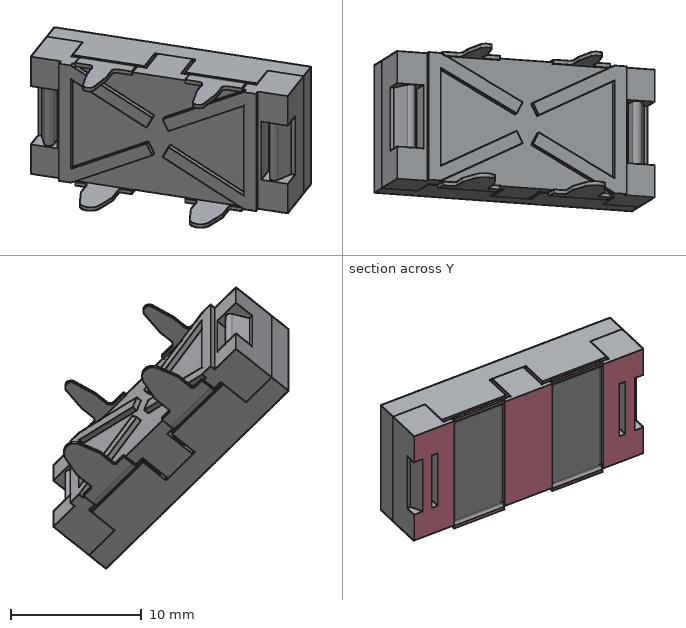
import cadquery as cq
import math


LENGTH = 20.8
HEIGHT = 9.98
TOP = HEIGHT / 2
COVER_BACK = 5.43
SEAM = 3.68

BAY_OUTER = 7.49
BAY_INNER = 1.41
BAY_FRONT = 1.06
BAY_WIDTH = BAY_OUTER - BAY_INNER
BAY_CENTER = (BAY_OUTER + BAY_INNER) / 2
LEG_FRONT = 1.33
LEG_INNER = 1.65

RIB_HEIGHT = 0.44
RIB_BAR_OUTER = 7.99
RIB_BAR_INNER = 7.0
RIB_ARM_WIDTH = 1.05
RIB_TIP_X = 0.42
RIB_TIP_Z = 1.6

RECESS_HEIGHT = 4.95
RECESS_DEPTH = 1.68
RECESS_INNER = 8.25
PIER_FOOT = 10.1
PIER_NOSE_X = 9.13
PIER_NOSE_Y = 0.56
PIER_NOSE_RADIUS = 0.37

SHEET = 0.31
BEND_RADIUS = 0.58
BEND_START = 0.69
TERMINAL_TOP = TOP + 0.17
TERMINAL_BOTTOM = -TOP - SHEET
TERMINAL_WIDTH = 4.58
TERMINAL_FRONT = -0.2
PIN_SHOULDER = -1.77
PIN_TIP = -4.01
SLEEVE_BACK = 3.4
SLEEVE_FRONT = BEND_START + BEND_RADIUS - SHEET
SLEEVE_DEPTH = SLEEVE_BACK - SLEEVE_FRONT
SLEEVE_RADIUS = 0.94
SLEEVE_TOP = TERMINAL_TOP - BEND_RADIUS
SLEEVE_BOTTOM = TERMINAL_BOTTOM + BEND_RADIUS

TOP_PIN = dict(half_width=0.8, tip_half_width=0.45, tip_start=-3.58, fillet=0.37)
BOTTOM_PIN = dict(half_width=1.3, tip_half_width=0.8, tip_start=-3.45, fillet=0.15)


def block(x_min, x_max, y_min, y_max, z_min, z_max):
    """Axis-aligned box given by its limits."""
    size = (x_max - x_min, y_max - y_min, z_max - z_min)
    return cq.Workplane("XY").box(*size, centered=False).translate((x_min, y_min, z_min))


def rounded_prism(inset):
    """Rounded rectangle along Z, inset from the outer skin of the right-hand sleeve."""
    return (
        cq.Workplane("XY", origin=(BAY_CENTER, (SLEEVE_FRONT + SLEEVE_BACK) / 2, SLEEVE_BOTTOM))
        .rect(BAY_WIDTH - 2 * inset, SLEEVE_DEPTH - 2 * inset)
        .extrude(SLEEVE_TOP - SLEEVE_BOTTOM)
        .edges("|Z")
        .fillet(SLEEVE_RADIUS - inset)
    )


def sleeve():
    """Sheet-metal tube that surrounds the core of a cover leg."""
    return rounded_prism(0).cut(rounded_prism(SHEET))


def with_mirror(shape):
    """The shape and its mirror image about X = 0, as a list."""
    return [shape, shape.mirror("YZ")]


def terminal(bottom_z, half_width, tip_half_width, tip_start, fillet):
    """Flat terminal with a tapered, round-ended pin."""
    half_terminal = TERMINAL_WIDTH / 2
    return (
        cq.Workplane("XY", origin=(BAY_CENTER, 0, bottom_z))
        .moveTo(-half_terminal, BEND_START)
        .lineTo(-half_terminal, TERMINAL_FRONT)
        .lineTo(-half_width - fillet, TERMINAL_FRONT)
        .radiusArc((-half_width, TERMINAL_FRONT - fillet), fillet)
        .lineTo(-half_width, PIN_SHOULDER)
        .lineTo(-tip_half_width, tip_start)
        .threePointArc((0, PIN_TIP), (tip_half_width, tip_start))
        .lineTo(half_width, PIN_SHOULDER)
        .lineTo(half_width, TERMINAL_FRONT - fillet)
        .radiusArc((half_width + fillet, TERMINAL_FRONT), fillet)
        .lineTo(half_terminal, TERMINAL_FRONT)
        .lineTo(half_terminal, BEND_START)
        .close()
        .extrude(SHEET)
    )


def bend(sleeve_end_z, direction):
    """Quarter-round bend from the sleeve end to a terminal; direction is +1 at the top, -1 below."""
    inner_radius = BEND_RADIUS - SHEET
    diagonal = math.sqrt(0.5)

    def on_arc(radius, y_part, z_part):
        return (BEND_START + radius * y_part, sleeve_end_z + direction * radius * z_part)

    return (
        cq.Workplane("YZ", origin=(BAY_CENTER, 0, 0))
        .moveTo(*on_arc(BEND_RADIUS, 1, 0))
        .threePointArc(on_arc(BEND_RADIUS, diagonal, diagonal), on_arc(BEND_RADIUS, 0, 1))
        .lineTo(*on_arc(inner_radius, 0, 1))
        .threePointArc(on_arc(inner_radius, diagonal, diagonal), on_arc(inner_radius, 1, 0))
        .close()
        .extrude(TERMINAL_WIDTH / 2, both=True)
    )


def right_winding():
    """Winding on the +X side: sleeve, two bends and two pinned terminals."""
    return (
        sleeve()
        .union(bend(SLEEVE_TOP, 1))
        .union(bend(SLEEVE_BOTTOM, -1))
        .union(terminal(TERMINAL_TOP - SHEET, **TOP_PIN))
        .union(terminal(TERMINAL_BOTTOM, **BOTTOM_PIN))
    )


def make_cover():
    """Back plate with two legs that carry the windings."""
    cover = block(-LENGTH / 2, LENGTH / 2, SEAM, COVER_BACK, -TOP, TOP)
    leg = block(LEG_INNER, BAY_OUTER, LEG_FRONT, SEAM, -TOP, TOP).cut(sleeve())
    for part in with_mirror(leg):
        cover = cover.union(part)
    return cover


def rib():
    """Bar along Z with two slanted arms pointing at the middle of the front face, +X side."""
    angle = math.atan2(TOP - RIB_TIP_Z, RIB_BAR_INNER - RIB_TIP_X)
    inner_tip = (
        RIB_TIP_X + RIB_ARM_WIDTH * math.sin(angle),
        RIB_TIP_Z - RIB_ARM_WIDTH * math.cos(angle),
    )
    inner_corner = (RIB_BAR_INNER, TOP - RIB_ARM_WIDTH / math.cos(angle))
    upper = [
        (RIB_BAR_OUTER, TOP),
        (RIB_BAR_INNER, TOP),
        (RIB_TIP_X, RIB_TIP_Z),
        inner_tip,
        inner_corner,
    ]
    lower = [(x, -z) for x, z in reversed(upper)]
    return cq.Workplane("XZ").polyline(upper + lower).close().extrude(RIB_HEIGHT)


def side_recess():
    """Pocket in the +X end of the base, less the pier that stands in it."""
    pocket = block(RECESS_INNER, LENGTH / 2, 0, RECESS_DEPTH, -RECESS_HEIGHT / 2, RECESS_HEIGHT / 2)
    foot_dx = PIER_FOOT - PIER_NOSE_X
    foot_dy = RECESS_DEPTH - PIER_NOSE_Y
    foot_angle = math.atan2(foot_dy, foot_dx)
    tangent_angle = foot_angle - math.acos(PIER_NOSE_RADIUS / math.hypot(foot_dx, foot_dy))
    tangent_point = (
        PIER_NOSE_X + PIER_NOSE_RADIUS * math.cos(tangent_angle),
        PIER_NOSE_Y + PIER_NOSE_RADIUS * math.sin(tangent_angle),
    )
    pier = (
        cq.Workplane("XY", origin=(0, 0, -RECESS_HEIGHT / 2))
        .moveTo(PIER_FOOT, RECESS_DEPTH)
        .lineTo(*tangent_point)
        .threePointArc(
            (PIER_NOSE_X, PIER_NOSE_Y - PIER_NOSE_RADIUS),
            (PIER_NOSE_X - PIER_NOSE_RADIUS, PIER_NOSE_Y),
        )
        .lineTo(PIER_NOSE_X - PIER_NOSE_RADIUS, RECESS_DEPTH)
        .close()
        .extrude(RECESS_HEIGHT)
    )
    return pocket.cut(pier)


def winding_seat():
    """Room in the base for the cover leg and the winding on the +X side."""
    seat_min = BAY_CENTER - TERMINAL_WIDTH / 2
    seat_max = BAY_CENTER + TERMINAL_WIDTH / 2
    bay = block(BAY_INNER, BAY_OUTER, BAY_FRONT, SEAM, -TOP, TOP)
    terminal_recess = block(seat_min, seat_max, -RIB_HEIGHT, BAY_FRONT, TERMINAL_TOP - SHEET, TOP)
    bend_relief = block(seat_min, seat_max, BEND_START, BAY_FRONT, -TOP, TOP)
    return bay.union(terminal_recess).union(bend_relief).union(rounded_prism(0))


def make_base():
    """Front block with ribs, winding bays and side recesses."""
    base = block(-LENGTH / 2, LENGTH / 2, 0, SEAM, -TOP, TOP)
    for part in with_mirror(rib()):
        base = base.union(part)
    for cutter in with_mirror(winding_seat()) + with_mirror(side_recess()):
        base = base.cut(cutter)
    return base


cover = make_cover()
base = make_base()
windings = [winding.solids().val() for winding in with_mirror(right_winding())]

result = cq.Compound.makeCompound([cover.solids().val(), base.solids().val(), *windings])